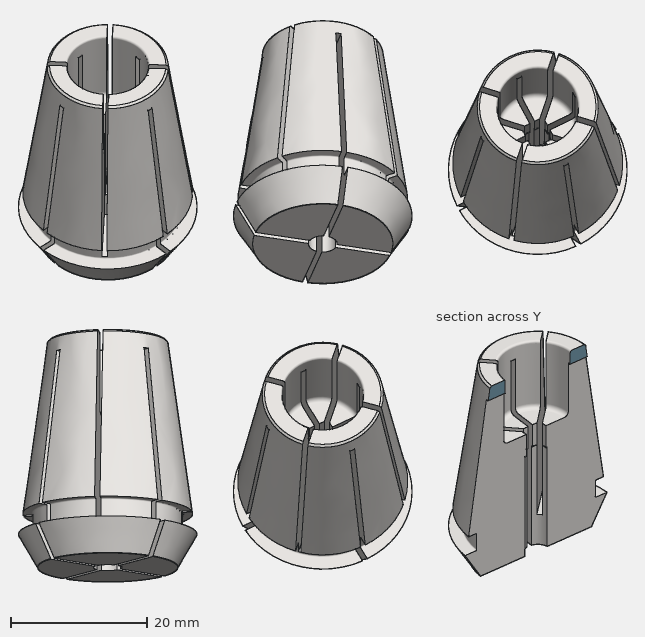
import cadquery as cq
import math


total_height = 34.0
flange_height = 5.0
taper_bottom = 8.1

flange_radius = 13.15
flange_angle = 30.0
neck_radius = 11.0
neck_fillet = 0.2
taper_large_radius = 12.5
taper_angle = 8.0
top_edge_chamfer = 0.3
base_rim_height = 0.1

shank_radius = 2.1
square_size = 3.6
square_bottom = 18.0
rear_bore_bottom = 22.0
rear_bore_radius = 5.97
rear_bore_floor_fillet = 0.75
rear_bore_mouth_fillet = 0.37

slot_width = 0.8
slot_overrun = 2.0
uncut_end_height = 2.5
upper_slot_floor = 5.45

slot_length = 2 * (flange_radius + slot_overrun)
lower_slot_top = total_height - uncut_end_height
flange_base_radius = flange_radius - (flange_height - base_rim_height) * math.tan(math.radians(flange_angle))
taper_small_radius = taper_large_radius - (total_height - taper_bottom) * math.tan(math.radians(taper_angle))


def make_body():
    """Solid of revolution: flange cone with a thin base rim, neck groove and main taper."""
    body = (
        cq.Workplane("XZ")
        .moveTo(0, 0)
        .lineTo(flange_base_radius, 0)
        .lineTo(flange_base_radius, base_rim_height)
        .lineTo(flange_radius, flange_height)
        .lineTo(neck_radius + neck_fillet, flange_height)
        .radiusArc((neck_radius, flange_height + neck_fillet), neck_fillet)
        .lineTo(neck_radius, taper_bottom - neck_fillet)
        .radiusArc((neck_radius + neck_fillet, taper_bottom), neck_fillet)
        .lineTo(taper_large_radius, taper_bottom)
        .lineTo(taper_small_radius, total_height)
        .lineTo(0, total_height)
        .close()
        .revolve(360, (0, 0, 0), (0, 1, 0))
    )
    return body.faces(">Z").edges().chamfer(top_edge_chamfer)


def make_bore():
    """Negative of the stepped bore, running through the whole height."""
    shank_hole = cq.Workplane("XY").circle(shank_radius).extrude(square_bottom)
    square_hole = (
        cq.Workplane("XY")
        .workplane(offset=square_bottom)
        .rect(square_size, square_size)
        .extrude(rear_bore_bottom - square_bottom)
    )
    rear_bore = (
        cq.Workplane("XY")
        .workplane(offset=rear_bore_bottom)
        .circle(rear_bore_radius)
        .extrude(total_height - rear_bore_bottom)
        .faces("<Z")
        .edges()
        .fillet(rear_bore_floor_fillet)
    )
    return shank_hole.union(square_hole).union(rear_bore)


def make_slot(angle, bottom, top):
    """Full-diameter slot through the axis, turned by angle about Z."""
    return (
        cq.Workplane("XY")
        .workplane(offset=bottom)
        .rect(slot_length, slot_width)
        .extrude(top - bottom)
        .rotate((0, 0, 0), (0, 0, 1), angle)
    )


def round_bore_mouth(part):
    """Round the rim where the rear bore meets the narrow end face."""
    rim = part.faces(">Z").edges(cq.selectors.RadiusNthSelector(0))
    return rim.fillet(rear_bore_mouth_fillet)


result = round_bore_mouth(make_body().cut(make_bore()))

for slot_angle in (0, 90):
    result = result.cut(make_slot(slot_angle, 0, lower_slot_top))

for slot_angle in (45, 135):
    result = result.cut(make_slot(slot_angle, upper_slot_floor, total_height))